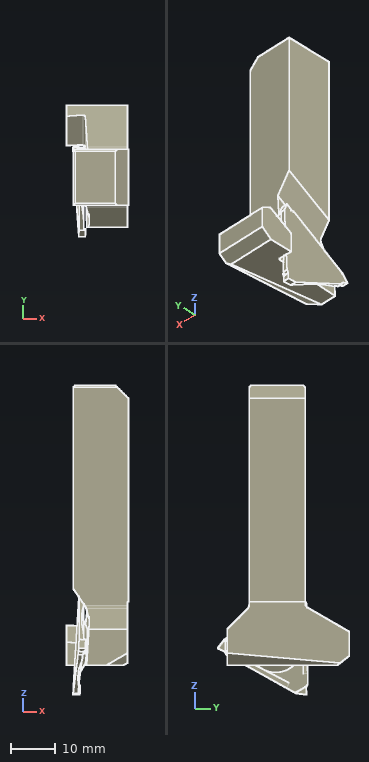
import cadquery as cq
import math


SHANK_WIDTH = 12.5
SHANK_DEPTH = 12.7
SHANK_RIGHT = 6.35
HALF_DEPTH = SHANK_DEPTH / 2
SHANK_TOP = 63.22
SHANK_BASE = 14.3
TOP_CHAMFER = 0.5
CORNER_CHAMFER = 3.0

OVERALL_WIDTH = 14.0
HEAD_SETBACK = 0.2
HEAD_LEFT = SHANK_RIGHT - OVERALL_WIDTH
HEAD_RIGHT = SHANK_RIGHT - HEAD_SETBACK
HEAD_FRONT = -11.3
HEAD_BACK = 16.31
FRONT_FACE_TOP = 8.2
BACK_FACE_TOP = 7.6
BACK_FACE_BASE = 2.15
BACK_RELIEF_LENGTH = 2.75
FRONT_SLOPE = math.radians(45)
BACK_SLOPE = math.radians(30)
NECK_FILLET = 1.0
RELIEF_WIDTH_FRONT = 4.84
RELIEF_WIDTH_BACK = 0.6
RELIEF_ANGLE = math.radians(30)

SEAT_FALL = math.radians(30)
SEAT_TILT = math.radians(4)
SEAT_CENTRE = (-3.2, -0.3, 4.33)
UPPER_WALL = 9.7
UPPER_WALL_ANGLE = math.radians(47.5)
LOWER_WALL = -3.25
STOP_FACE_Y = 7.3
SEAT_FILLET = 0.5
REACH = 40.0
CUT_DEPTH = 15.0

INSERT_TURN = 27.6
CORNER_COUNT = 3
CORNER_POINTS = [(11.3, -7.8), (11.6, -4.0), (13.1, 0.0), (11.65, 9.4)]
FACE_HEIGHT = 2.1
TIP_THICKNESS = 1.5
NECK_THICKNESS = 1.1
NECK_RADIUS = 11.4
TIP_BACK = FACE_HEIGHT - TIP_THICKNESS
HUB_HEIGHT = FACE_HEIGHT - NECK_THICKNESS
HUB_RADIUS = 6.0
HUB_SEAT_RADIUS = 4.0
SCALLOP_CHORD = 13.0
SCALLOP_DEPTH = 0.55
SCALLOP_LENGTH = 5.0

seat = cq.Plane(
    origin=SEAT_CENTRE,
    xDir=(0, -math.cos(SEAT_FALL), -math.sin(SEAT_FALL)),
    normal=(
        -math.cos(SEAT_TILT),
        -math.sin(SEAT_TILT) * math.sin(SEAT_FALL),
        math.sin(SEAT_TILT) * math.cos(SEAT_FALL),
    ),
)


def make_shank():
    height = SHANK_TOP - SHANK_BASE
    middle = (SHANK_RIGHT - SHANK_WIDTH / 2, 0, SHANK_BASE)
    shank = cq.Workplane("XY", origin=middle).rect(SHANK_WIDTH, SHANK_DEPTH).extrude(height)
    shank = shank.faces(">Z").edges(">X").chamfer(CORNER_CHAMFER)
    return shank.faces(">Z").edges("<X or <Y or >Y").chamfer(TOP_CHAMFER)


def make_head():
    front_neck = FRONT_FACE_TOP + (-HALF_DEPTH - HEAD_FRONT) * math.tan(FRONT_SLOPE)
    back_neck = BACK_FACE_TOP + (HEAD_BACK - HALF_DEPTH) * math.tan(BACK_SLOPE)
    outline = [
        (HEAD_FRONT, 0),
        (HEAD_FRONT, FRONT_FACE_TOP),
        (-HALF_DEPTH, front_neck),
        (-HALF_DEPTH, SHANK_BASE),
        (HALF_DEPTH, SHANK_BASE),
        (HALF_DEPTH, back_neck),
        (HEAD_BACK, BACK_FACE_TOP),
        (HEAD_BACK, BACK_FACE_BASE),
        (HEAD_BACK - BACK_RELIEF_LENGTH, 0),
    ]
    head = cq.Workplane("YZ").workplane(offset=HEAD_LEFT).polyline(outline).close()
    head = head.extrude(HEAD_RIGHT - HEAD_LEFT)
    for y, z in ((-HALF_DEPTH, front_neck), (HALF_DEPTH, back_neck)):
        middle = ((HEAD_LEFT + HEAD_RIGHT) / 2, y, z)
        head = head.edges(cq.NearestToPointSelector(middle)).fillet(NECK_FILLET)
    return head


def relief_triangle(sketch, width):
    height = width * math.tan(RELIEF_ANGLE)
    return sketch.polyline([(HEAD_RIGHT, 0), (HEAD_RIGHT - width, 0), (HEAD_RIGHT, height)]).close()


def make_corner_relief():
    """Flat relief under the +X side of the head, widest at the front."""
    relief = relief_triangle(cq.Workplane("XZ", origin=(0, HEAD_FRONT, 0)), RELIEF_WIDTH_FRONT)
    relief = relief.workplane(offset=HEAD_FRONT - HEAD_BACK)
    return relief_triangle(relief, RELIEF_WIDTH_BACK).loft(ruled=True, combine=True)


def make_seat_cut():
    """Channel with a leaning upper wall, leaving the stop block standing at the back."""
    channel_plane = cq.Plane(
        origin=seat.toWorldCoords((-REACH, 0, 0)), xDir=seat.yDir, normal=seat.xDir
    )
    wall_top = UPPER_WALL + CUT_DEPTH * math.tan(UPPER_WALL_ANGLE)
    section = [(-REACH, 0), (UPPER_WALL, 0), (wall_top, CUT_DEPTH), (-REACH, CUT_DEPTH)]
    channel = cq.Workplane(channel_plane).polyline(section).close().extrude(2 * REACH)

    centre_y = SEAT_CENTRE[1]
    stop_x = -(STOP_FACE_Y - centre_y + LOWER_WALL * math.sin(SEAT_FALL)) / math.cos(SEAT_FALL)
    drop = REACH + LOWER_WALL
    run = drop * math.tan(SEAT_FALL)
    stop_outline = [
        (-REACH, LOWER_WALL),
        (stop_x, LOWER_WALL),
        (stop_x + run, -REACH),
        (-REACH, -REACH),
    ]
    stop_block = cq.Workplane(seat).polyline(stop_outline).close().extrude(CUT_DEPTH)
    cut = channel.cut(stop_block)
    side_middles = [((stop_x - REACH) / 2, LOWER_WALL), (stop_x + run / 2, LOWER_WALL - drop / 2)]
    for x, y in side_middles:
        foot = seat.toWorldCoords((x, y, 0)).toTuple()
        cut = cut.edges(cq.NearestToPointSelector(foot)).fillet(SEAT_FILLET)
    return cut


def make_insert():
    corner_angles = [INSERT_TURN + i * 360 / CORNER_COUNT for i in range(CORNER_COUNT)]
    outline = []
    for corner in corner_angles:
        for radius, offset in CORNER_POINTS:
            angle = math.radians(corner + offset)
            outline.append((radius * math.cos(angle), radius * math.sin(angle)))
    plate = cq.Workplane("XY").workplane(offset=TIP_BACK).polyline(outline).close().extrude(TIP_THICKNESS)

    plate = plate.cut(cq.Workplane("XY").circle(NECK_RADIUS).extrude(HUB_HEIGHT))

    radius = (SCALLOP_CHORD**2 / 4 + SCALLOP_DEPTH**2) / (2 * SCALLOP_DEPTH)
    axis_height = HUB_HEIGHT + SCALLOP_DEPTH - radius
    scallop = cq.Workplane("YZ", origin=(HUB_RADIUS, 0, axis_height)).circle(radius).extrude(SCALLOP_LENGTH)
    for corner in corner_angles:
        plate = plate.cut(scallop.rotate((0, 0, 0), (0, 0, 1), corner + 180 / CORNER_COUNT))

    hub = cq.Workplane("XY").circle(HUB_SEAT_RADIUS).workplane(offset=HUB_HEIGHT).circle(HUB_RADIUS).loft()
    insert = plate.union(hub)
    return cq.Workplane(insert.val().located(cq.Location(seat)))


holder = make_shank().union(make_head()).cut(make_corner_relief()).cut(make_seat_cut())
insert = make_insert()

result = cq.Compound.makeCompound([holder.val(), insert.val()])